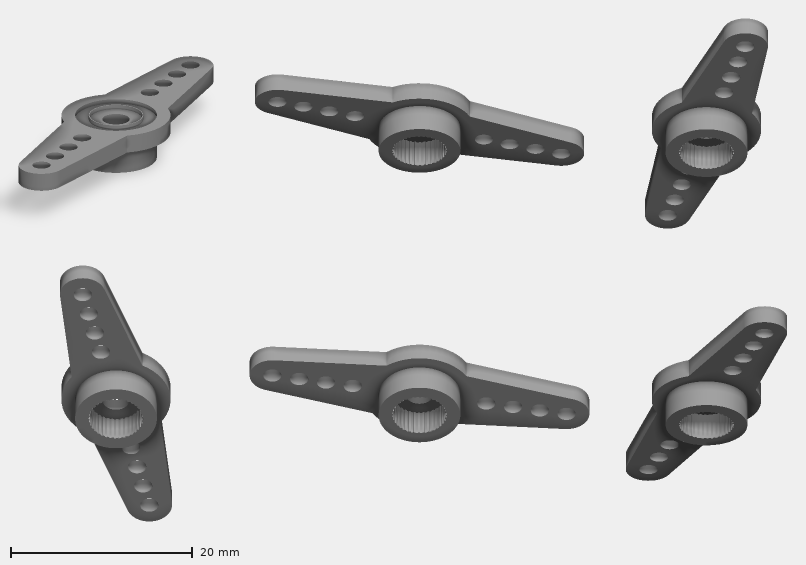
import cadquery as cq
import math

arm_span = 38
plate_thickness = 2.0
centre_diameter = 12.0
tip_radius = 2.5
tip_centre = arm_span / 2 - tip_radius
root_half_width = 4.0
root_offset = math.sqrt((centre_diameter / 2) ** 2 - root_half_width**2)

arm_hole_diameter = 2.0
arm_hole_pitch = 3.0
arm_hole_count = 4

hub_diameter = 9.0
total_height = 5.0

recess_depth = 0.5
ring_outer_diameter = 6.0
ring_inner_diameter = 5.8

screw_hole_diameter = 3.0
socket_depth = total_height - plate_thickness
socket_root_diameter = 6.0
socket_tip_diameter = 5.8
tooth_count = 36


def polar_point(diameter, angle):
    """Point on a circle at an angle in degrees from +X."""
    turn = math.radians(angle)
    return diameter / 2 * math.cos(turn), diameter / 2 * math.sin(turn)


def make_disc(diameter, height):
    """Round solid on the Z axis, reaching down from the top face."""
    return cq.Workplane("XY").circle(diameter / 2).extrude(-height)


def make_arm(side):
    """One tapered arm from the centre to its rounded tip; side is +1 or -1 along Y."""
    rise = tip_centre - root_offset
    root_distance = math.hypot(root_half_width, rise)
    touch_angle = math.acos(tip_radius / root_distance) - math.atan2(rise, root_half_width)
    touch_x = tip_radius * math.cos(touch_angle)
    touch_y = tip_centre + tip_radius * math.sin(touch_angle)
    return (
        cq.Workplane("XY")
        .moveTo(-root_half_width, 0)
        .lineTo(-root_half_width, side * root_offset)
        .lineTo(-touch_x, side * touch_y)
        .threePointArc((0, side * arm_span / 2), (touch_x, side * touch_y))
        .lineTo(root_half_width, side * root_offset)
        .lineTo(root_half_width, 0)
        .close()
        .extrude(-plate_thickness)
    )


def make_recess():
    """Annular and round pockets that leave the thin ring between them."""
    outer_pocket = make_disc(hub_diameter, recess_depth).cut(make_disc(ring_outer_diameter, recess_depth))
    inner_pocket = make_disc(ring_inner_diameter, recess_depth)
    return outer_pocket.union(inner_pocket)


def make_socket():
    """Socket void: square teeth reach inward, each spanning the same angle as a gap."""
    pitch = 360 / tooth_count
    half_tooth = pitch / 4
    outline = cq.Workplane("XY", origin=(0, 0, -total_height))
    outline = outline.moveTo(*polar_point(socket_tip_diameter, -half_tooth))
    for tooth in range(tooth_count):
        tooth_middle = tooth * pitch
        tooth_end = tooth_middle + half_tooth
        gap_middle = tooth_middle + pitch / 2
        gap_end = gap_middle + half_tooth
        outline = (
            outline.threePointArc(
                polar_point(socket_tip_diameter, tooth_middle),
                polar_point(socket_tip_diameter, tooth_end),
            )
            .lineTo(*polar_point(socket_root_diameter, tooth_end))
            .threePointArc(
                polar_point(socket_root_diameter, gap_middle),
                polar_point(socket_root_diameter, gap_end),
            )
            .lineTo(*polar_point(socket_tip_diameter, gap_end))
        )
    return outline.close().extrude(socket_depth)


def make_arm_holes():
    """Through holes along both arms."""
    places = []
    for index in range(arm_hole_count):
        offset = tip_centre - index * arm_hole_pitch
        places += [(0, offset), (0, -offset)]
    return cq.Workplane("XY").pushPoints(places).circle(arm_hole_diameter / 2).extrude(-plate_thickness)


plate = make_disc(centre_diameter, plate_thickness).union(make_arm(1)).union(make_arm(-1))
body = plate.union(make_disc(hub_diameter, total_height))
screw_hole = make_disc(screw_hole_diameter, total_height)

result = body.cut(make_recess()).cut(make_arm_holes()).cut(screw_hole).cut(make_socket())